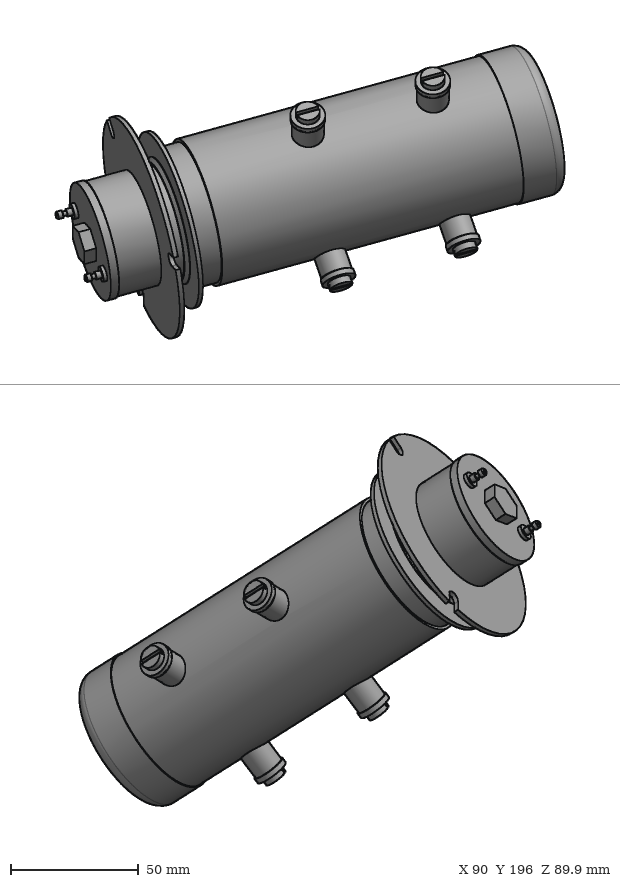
import cadquery as cq
import math

total_length = 196.0
stud_height = 8.2
hex_height = 4.9
rim_width = 3.5
plate_thickness = 2.0
plate_front_y = 29.4
collar_front_y = 38.8
collar_width = 1.8
collar_bevel = 1.5
flange_thickness = 1.8
flange_front_y = collar_front_y + collar_width
neck_front_y = flange_front_y + flange_thickness
tube_front_y = 52.5
cap_length = 18.5

end_face_y = stud_height
rim_back_y = end_face_y + rim_width
cap_front_y = total_length - cap_length

tube_diameter = 59.8
tube_radius = tube_diameter / 2
cap_radius = 30.4
cap_rounding = 4.9
neck_radius = 28.6
flange_radius = 35.9
collar_radius = 25.9
base_radius = 23.5
rim_diameter = 48.0
rim_radius = rim_diameter / 2

plate_diameter = 90.0
plate_radius = plate_diameter / 2
notch_count = 3
notch_width = 5.3
notch_depth = 8.0

hex_across_flats = 13.7
stud_spacing = 33.7
washer_radius = 3.1
washer_height = 1.5
stud_radius = 1.5
stud_shank_height = 4.0
stud_neck_radius = 1.0
stud_head_height = 2.5
stud_end_chamfer = 0.5

port_stations = [98.5, 150.5]
side_seat_angle = -30.0
side_axis_angle = -20.0
port_root_depth = 5.9
port_tube_diameter = 12.7
port_tube_radius = port_tube_diameter / 2
port_collar_radius = 6.9
port_collar_base = 9.0
port_collar_top = 11.4
port_screw_radius = 4.7
port_screw_top = 14.1
screw_slot_width = 1.5
screw_slot_depth = 1.8


def disc(radius, start_y, end_y):
    """Cylinder about the Y axis between two stations."""
    return cq.Workplane("XZ", origin=(0, start_y, 0)).circle(radius).extrude(start_y - end_y)


def make_body():
    """Stepped round body with the rounded cap and bevelled collar."""
    cap = disc(cap_radius, cap_front_y, total_length).faces(">Y").edges().fillet(cap_rounding)
    collar = disc(collar_radius, collar_front_y, flange_front_y)
    collar = collar.faces("<Y").edges().chamfer(collar_bevel)
    body = disc(base_radius, end_face_y, neck_front_y)
    body = body.union(disc(rim_radius, end_face_y, rim_back_y))
    body = body.union(collar)
    body = body.union(disc(flange_radius, flange_front_y, neck_front_y))
    body = body.union(disc(neck_radius, neck_front_y, tube_front_y))
    body = body.union(disc(tube_radius, tube_front_y, cap_front_y))
    return body.union(cap)


def make_plate():
    """Round mounting plate with open round-ended notches."""
    back_y = plate_front_y + plate_thickness
    plate = disc(plate_radius, plate_front_y, back_y)
    notch_center = plate_radius - notch_depth + notch_width / 2
    notch = (
        cq.Workplane("XZ", origin=(0, back_y, 0))
        .center(0, -notch_center)
        .circle(notch_width / 2)
        .extrude(plate_thickness)
    )
    notch = notch.union(
        cq.Workplane("XZ", origin=(0, back_y, 0))
        .center(0, -notch_center - notch_depth / 2)
        .rect(notch_width, notch_depth)
        .extrude(plate_thickness)
    )
    for index in range(notch_count):
        plate = plate.cut(notch.rotate((0, 0, 0), (0, 1, 0), index * 360 / notch_count))
    return plate


def make_hexagon():
    """Hexagonal boss with two corners on the Z axis."""
    across_corners = hex_across_flats / math.cos(math.pi / 6)
    hexagon = cq.Workplane("XZ", origin=(0, end_face_y, 0)).polygon(6, across_corners).extrude(hex_height)
    return hexagon.rotate((0, 0, 0), (0, 1, 0), 30)


def make_stud(x):
    """Grooved terminal stud on a washer."""
    head = disc(stud_radius, 0, stud_head_height).faces("<Y").edges().chamfer(stud_end_chamfer)
    stud = disc(washer_radius, end_face_y - washer_height, end_face_y)
    stud = stud.union(disc(stud_radius, end_face_y - stud_shank_height, end_face_y))
    stud = stud.union(disc(stud_neck_radius, stud_head_height, end_face_y))
    return stud.union(head).translate((x, 0, 0))


def upright_disc(radius, start_z, end_z):
    """Cylinder about the Z axis between two heights."""
    return cq.Workplane("XY", origin=(0, 0, start_z)).circle(radius).extrude(end_z - start_z)


def make_port():
    """Upright port with a collar and a slotted screw; Z = 0 is the tube surface."""
    port = upright_disc(port_tube_radius, -port_root_depth, port_collar_top)
    port = port.union(upright_disc(port_collar_radius, port_collar_base, port_collar_top))
    port = port.union(upright_disc(port_screw_radius, port_collar_top, port_screw_top))
    slot = cq.Workplane("XY", origin=(0, 0, port_screw_top)).rect(screw_slot_width, 2 * port_screw_radius)
    return port.cut(slot.extrude(-screw_slot_depth))


def make_port_ring(station):
    """One port on top and a mirrored pair of side ports that lean off the radial direction."""
    seat = math.radians(side_seat_angle)
    seat_point = (tube_radius * math.cos(seat), station, tube_radius * math.sin(seat))
    top_port = make_port().translate((0, station, tube_radius))
    right_port = make_port().rotate((0, 0, 0), (0, 1, 0), 90 - side_axis_angle).translate(seat_point)
    return top_port.union(right_port).union(right_port.mirror("YZ"))


part = make_body().union(make_plate()).union(make_hexagon())
for side in (-1, 1):
    part = part.union(make_stud(side * stud_spacing / 2))
for port_station in port_stations:
    part = part.union(make_port_ring(port_station))

result = part.translate((0, -total_length / 2, 0))